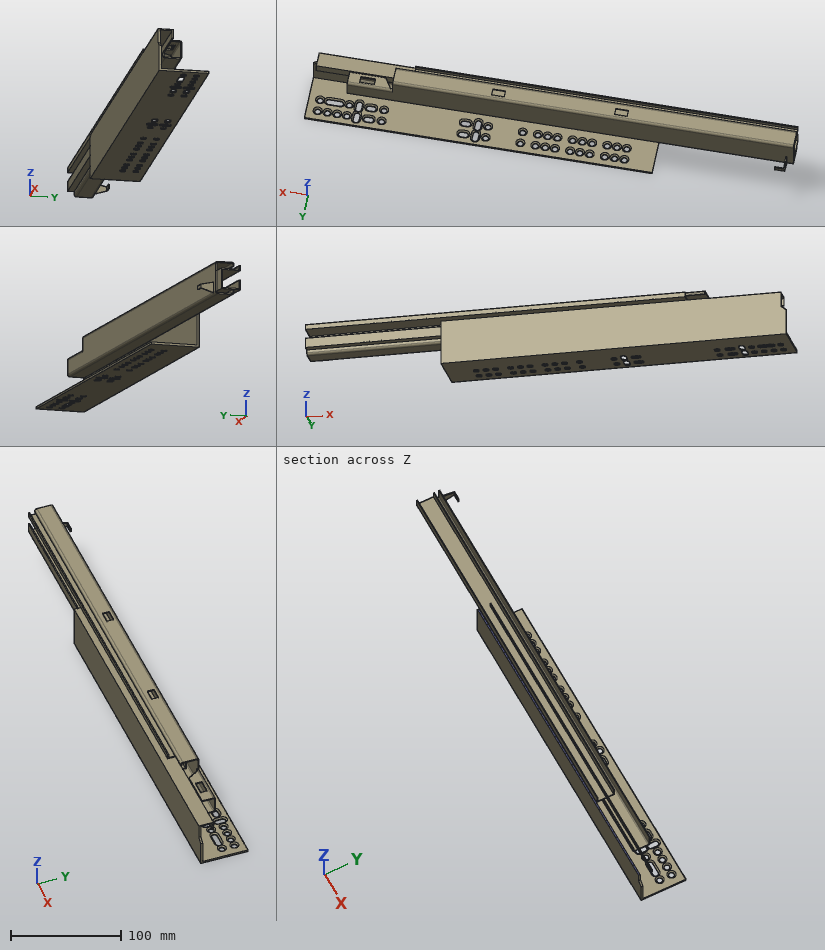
import cadquery as cq
import math

sheet = 1.2
joint_overlap = 0.5
cut_margin = 1.0

total_length = 448.0
bracket_start = 127.0
bracket_width = 46.0
bracket_sheet = 2.0
bracket_top = 41.5
guide_flange_sheet = 1.3
guide_flange_width = 14.3
guide_lip_bottom = 33.5
notch_length = 5.0
notch_bottom = 24.0
notch_corner = 28.0

system_pitch = 32.0
hole_pitch = 9.0
first_hole_x = 154.4
hole_diameter = 5.3
countersink_width = 1.45
countersink_depth = 1.2
front_row_y = 24.6
rear_row_y = 36.7
triple_hole_groups = 3
holes_per_group = 3
single_hole_steps = (3, 4, 7)
rear_hole_step = 8
rear_hole_count = 4
slot_width = hole_diameter
cross_slot_length = 10.6
short_slot_length = 9.0
long_slot_length = 16.0
front_cross_slot_x = 291.7
front_short_slot_x = 303.0
rear_short_slot_x = 390.3
rear_cross_slot_x = 401.5
long_slot_x = 424.0

middle_length = 353.0
middle_front_y = 4.3
middle_back_y = 22.7
middle_bottom = 29.0
middle_height = 19.0
upper_lip_height = 4.6
lower_lip_height = 9.2

drawer_length = 370.0
drawer_front_y = 10.4
drawer_back_y = 28.2
drawer_bottom = 24.1
drawer_top = 54.0
drawer_bend = 2.2
drawer_upper_lip = 3.5
drawer_lower_lip = middle_bottom - drawer_bottom

window_length = 11.6
window_y = (17.2, 23.6)
window_starts = (154.3, 267.8)

tab_end = 412.0
tab_top = bracket_top
tab_front_y = 15.2
tab_slope_start = 372.0
tab_slope_end = 378.5
tab_window_y = (18.2, 24.3)
tab_window_start = 387.5
tab_window_length = 13.5

hook_x = 6.3
hook_back_y = 40.2
hook_flag_end = 15.0
hook_root_z = (25.8, 35.9)
hook_tip_z = (29.8, 33.2)


def block(x_range, y_range, z_range):
    """Box between the given limits on each axis."""
    limits = (x_range, y_range, z_range)
    size = [high - low for low, high in limits]
    corner = tuple(low for low, high in limits)
    return cq.Workplane("XY").box(*size, centered=False).translate(corner)


def make_bracket():
    """L-shaped cabinet bracket with a guide flange over the wall."""
    span = (bracket_start, total_length)
    flange_end = total_length - notch_length
    guide_span = (bracket_start, flange_end)
    lip_y = (guide_flange_width - guide_flange_sheet, guide_flange_width)

    base = cut_mounting_holes(block(span, (0, bracket_width), (0, bracket_sheet)))
    wall = (
        cq.Workplane("XZ")
        .moveTo(bracket_start, 0)
        .lineTo(total_length, 0)
        .lineTo(total_length, notch_bottom)
        .lineTo(flange_end, notch_corner)
        .lineTo(flange_end, bracket_top)
        .lineTo(bracket_start, bracket_top)
        .close()
        .extrude(-bracket_sheet)
    )
    flange = block(guide_span, (0, guide_flange_width), (bracket_top - guide_flange_sheet, bracket_top))
    lip = block(guide_span, lip_y, (guide_lip_bottom, bracket_top))
    return base.union(wall).union(flange).union(lip)


def countersunk_slot(x, y, length, angle=0):
    """Cutter through the base flange: round-ended slot with a countersunk rim."""
    sink_bottom = bracket_sheet - countersink_depth
    sink_angle = math.degrees(math.atan2(countersink_width, countersink_depth))
    if length > slot_width:
        outline = cq.Sketch().slot(length - slot_width, slot_width)
    else:
        outline = cq.Sketch().circle(slot_width / 2)
    through = (
        cq.Workplane("XY")
        .placeSketch(outline)
        .extrude(bracket_sheet + cut_margin)
        .translate((0, 0, -cut_margin))
    )
    rim = (
        cq.Workplane("XY")
        .workplane(offset=sink_bottom)
        .placeSketch(outline)
        .extrude(countersink_depth, taper=-sink_angle)
    )
    return through.union(rim).rotate((0, 0, 0), (0, 0, 1), angle).translate((x, y, 0))


def cut_mounting_holes(base):
    """Cut the holes and slots of both mounting rows into the base flange."""
    hole_x = [
        first_hole_x + group * system_pitch + index * hole_pitch
        for group in range(triple_hole_groups)
        for index in range(holes_per_group)
    ]
    hole_x += [first_hole_x + step * system_pitch for step in single_hole_steps]
    rear_start = first_hole_x + rear_hole_step * system_pitch
    rear_x = [rear_start + index * hole_pitch for index in range(rear_hole_count)]

    front_row = [(x, front_row_y) for x in hole_x + [rear_x[0], rear_x[-1]]]
    rear_row = [(x, rear_row_y) for x in hole_x + rear_x]
    for x, y in front_row + rear_row:
        base = base.cut(countersunk_slot(x, y, hole_diameter))

    for y in (front_row_y, rear_row_y):
        for x in (front_short_slot_x, rear_short_slot_x):
            base = base.cut(countersunk_slot(x, y, short_slot_length))
        for x in (front_cross_slot_x, rear_cross_slot_x):
            base = base.cut(countersunk_slot(x, y, cross_slot_length, 90))
    return base.cut(countersunk_slot(long_slot_x, front_row_y, long_slot_length))


def make_middle_rail():
    """Channel open to the front, with a lip rising from each flange."""
    span = (0, middle_length)
    depth = (middle_front_y, middle_back_y)
    top = middle_bottom + middle_height
    upper_base = top - sheet
    lip_y = (middle_front_y, middle_front_y + sheet)

    web = block(span, (middle_back_y - sheet, middle_back_y), (middle_bottom, top))
    upper_flange = block(span, depth, (upper_base, top))
    lower_flange = block(span, depth, (middle_bottom, middle_bottom + sheet))
    upper_lip = block(span, lip_y, (upper_base, upper_base + upper_lip_height))
    lower_lip = block(span, lip_y, (middle_bottom, middle_bottom + lower_lip_height))
    return web.union(upper_flange).union(lower_flange).union(upper_lip).union(lower_lip)


def drawer_channel():
    """Channel with rounded bends and inward lips; only its lower part reaches the rear end."""
    span = (0, tab_end)
    outer = (
        block(span, (drawer_front_y, drawer_back_y), (drawer_bottom, drawer_top))
        .edges("|X")
        .fillet(drawer_bend)
    )
    inner_y = (drawer_front_y + sheet, drawer_back_y - sheet)
    inner_z = (drawer_bottom + sheet, drawer_top - sheet)
    inner = block(span, inner_y, inner_z).edges("|X").fillet(drawer_bend - sheet)
    lower_lip_top = drawer_bottom + drawer_lower_lip
    upper_lip_bottom = drawer_top - drawer_upper_lip
    mouth = block(span, (drawer_front_y, drawer_front_y + drawer_bend), (lower_lip_top, upper_lip_bottom))
    rear_notch = block(
        (drawer_length, tab_end), (drawer_front_y, drawer_back_y), (lower_lip_top, drawer_top)
    )
    return outer.cut(inner).cut(mouth).cut(rear_notch)


def top_window(x_start, length, y_range, z_top):
    """Cutter for a rectangular window through a horizontal wall."""
    z_range = (z_top - sheet - cut_margin, z_top + cut_margin)
    return block((x_start, x_start + length), y_range, z_range)


def rear_tab():
    """Web behind the full channel, bent over at the top into a tapered flat tab."""
    span = (drawer_length - joint_overlap, tab_end)
    web_bottom = drawer_bottom + drawer_lower_lip - joint_overlap
    bend_start_y = drawer_back_y - drawer_bend
    outer = block(span, (tab_front_y, drawer_back_y), (web_bottom, tab_top))
    outer = outer.edges("|X and >Y and >Z").fillet(drawer_bend)
    inner = block(span, (tab_front_y, drawer_back_y - sheet), (web_bottom, tab_top - sheet))
    inner = inner.edges("|X and >Y and >Z").fillet(drawer_bend - sheet)
    slope = (
        cq.Workplane("XY")
        .workplane(offset=tab_top - drawer_bend)
        .moveTo(span[0], bend_start_y)
        .lineTo(tab_slope_start, bend_start_y)
        .lineTo(tab_slope_end, tab_front_y)
        .lineTo(span[0], tab_front_y)
        .close()
        .extrude(drawer_bend)
    )
    window = top_window(tab_window_start, tab_window_length, tab_window_y, tab_top)
    return outer.cut(inner).cut(slope).cut(window)


def front_hook():
    """Tapered plate standing off the web, with a flag bent along the rail."""
    root_y = drawer_back_y - joint_overlap
    hook = (
        cq.Workplane("YZ")
        .workplane(offset=hook_x - sheet / 2)
        .moveTo(root_y, hook_root_z[0])
        .lineTo(hook_back_y, hook_tip_z[0])
        .lineTo(hook_back_y, hook_tip_z[1])
        .lineTo(root_y, hook_root_z[1])
        .close()
        .extrude(sheet)
    )
    flag = block((hook_x, hook_flag_end), (hook_back_y - sheet, hook_back_y), hook_tip_z)
    return hook.union(flag)


def make_drawer_rail():
    """Drawer rail with its two windows, rear tab and front hook."""
    rail = drawer_channel()
    for start in window_starts:
        rail = rail.cut(top_window(start, window_length, window_y, drawer_top))
    return rail.union(rear_tab()).union(front_hook())


bracket = make_bracket()
middle_rail = make_middle_rail()
drawer_rail = make_drawer_rail()

result = cq.Compound.makeCompound([bracket.val(), middle_rail.val(), drawer_rail.val()])